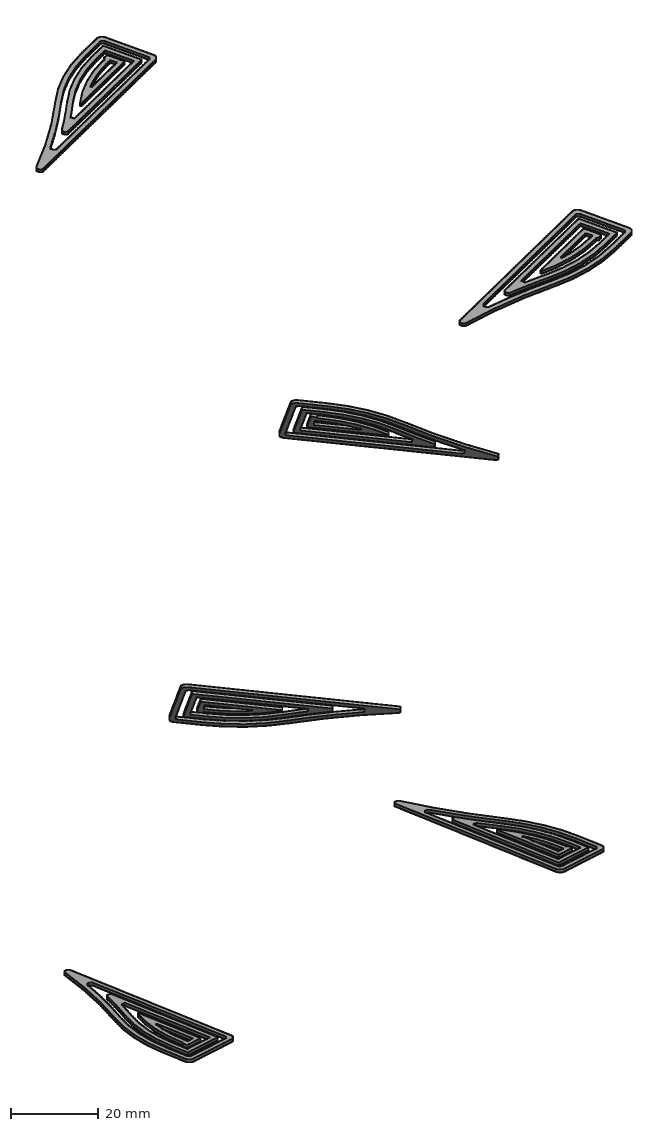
import cadquery as cq
import math

HALF_SPAN = 71.9
WING_WIDTH = 15.8
HALF_LENGTH = 25.7
THICKNESS = 0.8
STRAIGHT_EDGE_X = HALF_SPAN - WING_WIDTH

FLANK_START_Y = 17.4
CONVEX_RADIUS = 41.0
CONCAVE_RADIUS = 129.4
TURN_ANGLE = math.radians(27.4)
CONVEX_CENTER_X = HALF_SPAN - CONVEX_RADIUS
CENTER_DISTANCE = CONVEX_RADIUS + CONCAVE_RADIUS
CONCAVE_CENTER_X = CONVEX_CENTER_X + CENTER_DISTANCE * math.cos(TURN_ANGLE)
CONCAVE_CENTER_Y = FLANK_START_Y - CENTER_DISTANCE * math.sin(TURN_ANGLE)

WALL = 1.34
OUTER_GAP = 1.37
INNER_GAP = 1.65
MIDDLE_INSET = WALL + OUTER_GAP
INNER_INSET = MIDDLE_INSET + WALL + INNER_GAP

MIDDLE_TOP = 22.7
INNER_TOP = 20.1
OUTER_OPENING_FLOOR = -17.5
MIDDLE_FLOOR = -10.4
MIDDLE_OPENING_FLOOR = -4.7
INNER_FLOOR = 1.0
INNER_OPENING_FLOOR = 7.8

OUTER_CORNER_RADIUS = 1.5
OPENING_CORNER_RADIUS = 0.7
TIP_RADIUS = 0.65

LIP_REACH = 0.36
LIP_HEIGHT = 1.6
LIP_RADIUS = 0.3


def convex_point(angle, inset):
    """Point on the inset convex arc, with the angle measured down from +X."""
    radius = CONVEX_RADIUS - inset
    x = CONVEX_CENTER_X + radius * math.cos(angle)
    y = FLANK_START_Y - radius * math.sin(angle)
    return x, y


def convex_angle(y, inset):
    return math.asin((FLANK_START_Y - y) / (CONVEX_RADIUS - inset))


def concave_point(y, inset):
    """Point at height y on the inset concave arc."""
    radius = CONCAVE_RADIUS + inset
    rise = y - CONCAVE_CENTER_Y
    return CONCAVE_CENTER_X - math.sqrt(radius**2 - rise**2), y


def wing_plate(inset, top, floor):
    """Plate with straight and curved sides inset from the wing outline."""
    straight_x = STRAIGHT_EDGE_X + inset
    flank_x = HALF_SPAN - inset
    junction = convex_point(TURN_ANGLE, inset)
    outline = (
        cq.Workplane("XY")
        .moveTo(straight_x, floor)
        .lineTo(straight_x, top)
        .lineTo(flank_x, top)
        .lineTo(flank_x, FLANK_START_Y)
    )
    if floor < junction[1]:
        middle_y = (junction[1] + floor) / 2
        outline = outline.threePointArc(convex_point(TURN_ANGLE / 2, inset), junction)
        outline = outline.threePointArc(concave_point(middle_y, inset), concave_point(floor, inset))
    else:
        end_angle = convex_angle(floor, inset)
        outline = outline.threePointArc(convex_point(end_angle / 2, inset), convex_point(end_angle, inset))
    return outline.close().extrude(THICKNESS / 2, both=True)


def outer_ring():
    plate = wing_plate(0, HALF_LENGTH, -HALF_LENGTH)
    plate = plate.faces(">Y").edges("|Z").fillet(OUTER_CORNER_RADIUS)
    plate = plate.faces("<Y").edges("|Z").fillet(TIP_RADIUS)
    opening = wing_plate(WALL, HALF_LENGTH - WALL, OUTER_OPENING_FLOOR)
    opening = opening.faces(">Y").edges("|Z").fillet(OPENING_CORNER_RADIUS)
    opening = opening.faces("<Y").edges("|Z").fillet(TIP_RADIUS)
    return plate.cut(opening)


def middle_ring():
    plate = wing_plate(MIDDLE_INSET, MIDDLE_TOP, MIDDLE_FLOOR)
    plate = plate.faces("<Y").edges("|Z").fillet(TIP_RADIUS)
    opening = wing_plate(MIDDLE_INSET + WALL, MIDDLE_TOP - WALL, MIDDLE_OPENING_FLOOR)
    return plate.cut(opening)


def inner_ring():
    plate = wing_plate(INNER_INSET, INNER_TOP, INNER_FLOOR)
    lip_width = WALL / 2 + LIP_REACH
    lip_x = HALF_SPAN - INNER_INSET + LIP_REACH - lip_width / 2
    lip = (
        cq.Workplane("XY")
        .box(lip_width, LIP_HEIGHT, THICKNESS)
        .translate((lip_x, INNER_TOP - LIP_HEIGHT / 2, 0))
        .edges("|Z and >X")
        .fillet(LIP_RADIUS)
    )
    opening = wing_plate(INNER_INSET + WALL, INNER_TOP - WALL, INNER_OPENING_FLOOR)
    return plate.union(lip).cut(opening)


bodies = []
for ring in (outer_ring(), middle_ring(), inner_ring()):
    bodies.append(ring.val())
    bodies.append(ring.mirror("YZ").val())

result = cq.Compound.makeCompound(bodies)